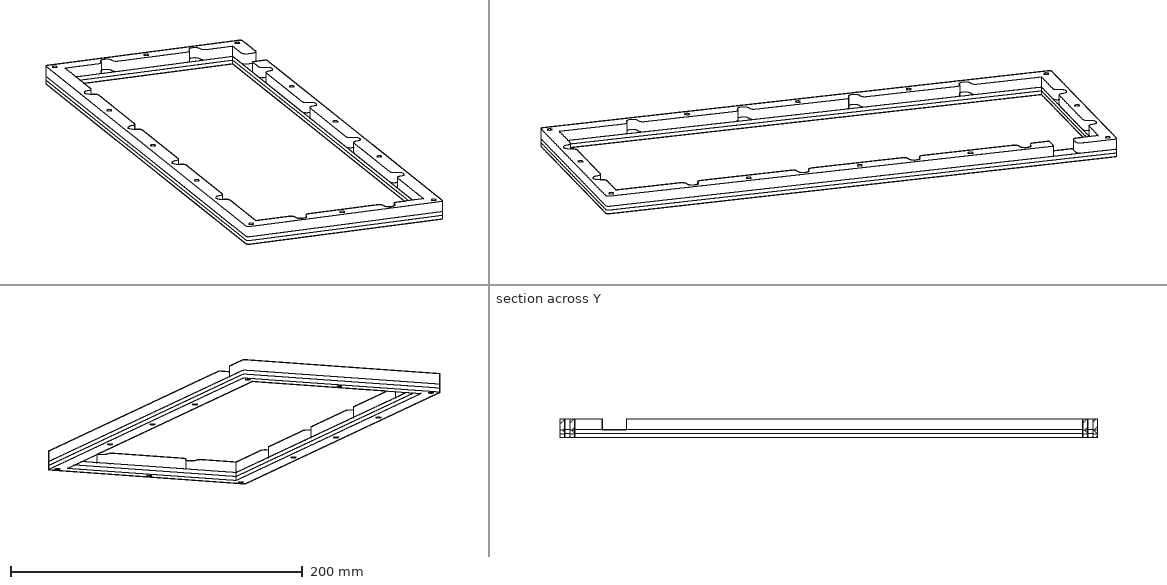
import cadquery as cq
import math

LENGTH = 369.0
WIDTH = 145.5
END_RAIL = 10.5
SIDE_RAIL = 10.7
CORNER_RADIUS = 2.0

BASE_THICKNESS = 2.75
MIDDLE_THICKNESS = BASE_THICKNESS
TOP_THICKNESS = 7.5

HOLE_DIAMETER = 3.2
HOLE_INSET = 5.0
HOLE_PITCH = 80.0

NOTCH_RADIUS = 4.0
NOTCH_DEPTH = 7.5
NOTCH_MOUTH_RADIUS = 3.5
LONG_SIDE_NOTCH_PITCH = HOLE_PITCH
SHORT_SIDE_NOTCH_PITCH = 65.5
SHORT_SIDE_NOTCH_SHIFT = 2.5

GAP_START = -155.5
GAP_END = -138.8
GAP_START_RADIUS = 3.5
GAP_END_RADIUS = 1.0

INNER_LENGTH = LENGTH - 2 * END_RAIL
INNER_WIDTH = WIDTH - 2 * SIDE_RAIL


def hole_centres():
    """Three rows across the short sides, plus the holes between the corners of the long sides."""
    end_x = LENGTH / 2 - HOLE_INSET
    side_y = WIDTH / 2 - HOLE_INSET
    centres = [(x, y) for x in (-end_x, end_x) for y in (-side_y, 0, side_y)]
    centres += [(i * HOLE_PITCH, y) for i in (-1, 0, 1) for y in (-side_y, side_y)]
    return centres


def ring(bottom, thickness):
    """Closed rectangular frame layer with rounded outer corners and screw holes."""
    plate = (
        cq.Workplane("XY", origin=(0, 0, bottom))
        .rect(LENGTH, WIDTH)
        .extrude(thickness)
        .edges("|Z")
        .fillet(CORNER_RADIUS)
    )
    opening = (
        cq.Workplane("XY", origin=(0, 0, bottom))
        .rect(INNER_LENGTH, INNER_WIDTH)
        .extrude(thickness)
    )
    holes = (
        cq.Workplane("XY", origin=(0, 0, bottom))
        .pushPoints(hole_centres())
        .circle(HOLE_DIAMETER / 2)
        .extrude(thickness)
    )
    return plate.cut(opening).cut(holes)


def notch_cutter(bottom):
    """Round notch opening toward -Y at the origin, with a rounded mouth tangent to the circle."""
    circle_y = NOTCH_DEPTH - NOTCH_RADIUS
    centre_distance = NOTCH_RADIUS + NOTCH_MOUTH_RADIUS
    half_mouth = math.sqrt(centre_distance**2 - (circle_y - NOTCH_MOUTH_RADIUS) ** 2)
    tangent_x = half_mouth * NOTCH_RADIUS / centre_distance
    tangent_y = circle_y + (NOTCH_MOUTH_RADIUS - circle_y) * NOTCH_RADIUS / centre_distance
    return (
        cq.Workplane("XY", origin=(0, 0, bottom))
        .moveTo(-half_mouth, 0)
        .radiusArc((-tangent_x, tangent_y), -NOTCH_MOUTH_RADIUS)
        .threePointArc((0, NOTCH_DEPTH), (tangent_x, tangent_y))
        .radiusArc((half_mouth, 0), -NOTCH_MOUTH_RADIUS)
        .close()
        .extrude(TOP_THICKNESS)
    )


def notched_top(bottom):
    """Top layer: a ring with notches, left open by a gap in its back rail."""
    body = ring(bottom, TOP_THICKNESS)

    side_notch = notch_cutter(bottom).translate((0, INNER_WIDTH / 2, 0))
    for step in (-1.5, -0.5, 0.5, 1.5):
        for turn in (0, 180):
            notch = side_notch.rotate((0, 0, 0), (0, 0, 1), turn)
            body = body.cut(notch.translate((step * LONG_SIDE_NOTCH_PITCH, 0, 0)))

    end_notch = notch_cutter(bottom).translate((0, INNER_LENGTH / 2, 0))
    for step in (-0.5, 0.5):
        y = SHORT_SIDE_NOTCH_SHIFT + step * SHORT_SIDE_NOTCH_PITCH
        for turn in (90, -90):
            notch = end_notch.rotate((0, 0, 0), (0, 0, 1), turn)
            body = body.cut(notch.translate((0, y, 0)))

    return body.cut(gap_cutter(bottom))


def gap_cutter(bottom):
    """Slot across the back rail whose corners flare, rounding the two rail ends."""
    inner_y = INNER_WIDTH / 2
    outer_y = WIDTH / 2
    start_radius = GAP_START_RADIUS
    end_radius = GAP_END_RADIUS
    return (
        cq.Workplane("XY", origin=(0, 0, bottom))
        .moveTo(GAP_START - start_radius, inner_y)
        .radiusArc((GAP_START, inner_y + start_radius), -start_radius)
        .lineTo(GAP_START, outer_y - start_radius)
        .radiusArc((GAP_START - start_radius, outer_y), -start_radius)
        .lineTo(GAP_END + end_radius, outer_y)
        .radiusArc((GAP_END, outer_y - end_radius), -end_radius)
        .lineTo(GAP_END, inner_y + end_radius)
        .radiusArc((GAP_END + end_radius, inner_y), -end_radius)
        .close()
        .extrude(TOP_THICKNESS)
    )


base_ring = ring(0, BASE_THICKNESS)
middle_ring = ring(BASE_THICKNESS, MIDDLE_THICKNESS)
top_ring = notched_top(BASE_THICKNESS + MIDDLE_THICKNESS)

result = cq.Compound.makeCompound([base_ring.val(), middle_ring.val(), top_ring.val()])